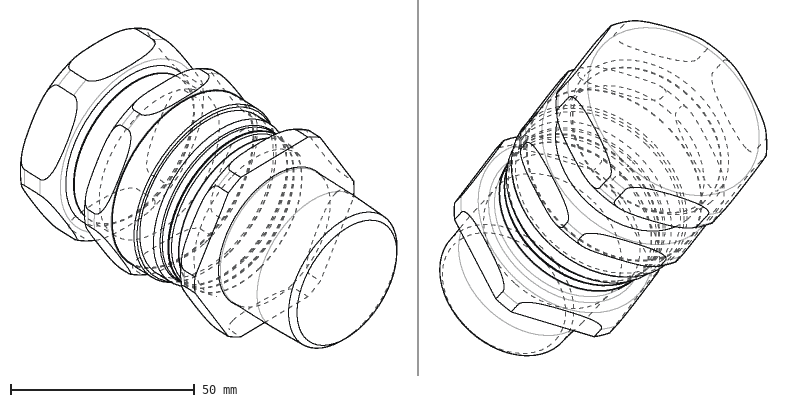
import cadquery as cq
import math


HEX_SIDES = 6
HEX_FLATS = 55.0
HEX_ACROSS_CORNERS = HEX_FLATS / math.cos(math.pi / HEX_SIDES)
HEX_CORNER_RADIUS = 60.6 / 2

CAP_ROUND = 3.9
CAP_HEX_LENGTH = 13.9
CAP_END = 15.6
CAP_BEVEL = 1.5

NECK_RADIUS = 45.7 / 2
MIDDLE_ROUND = 3.2
MIDDLE_HEX_START = 25.4
MIDDLE_HEX_END = 34.3
UNDERCUT_LENGTH = 0.2
UNDERCUT_DEPTH = 0.2
SKIRT_RADIUS = 54.0 / 2
SKIRT_END = 43.7
SKIRT_BEVEL = 0.6

CLAMP_RADIUS = 50.8 / 2
CLAMP_BEVEL_START = 49.0
CLAMP_BEVEL = 1.3
CLAMP_END = 50.9

WIDE_RING_RADIUS = 47.8 / 2
WIDE_RING_END = 53.1
NARROW_RING_RADIUS = 46.7 / 2
NARROW_RING_SHOULDER_RADIUS = 47.6 / 2
NARROW_RING_SHOULDER_LENGTH = 0.3
NARROW_RING_SLOPE_LENGTH = 0.6
NARROW_RING_END = 56.8

COLLAR_START_RADIUS = 23.5
COLLAR_LAND = 0.2
COLLAR_END_RADIUS = 22.5
COLLAR_END = 61.4
ENTRY_HEX_START = 62.6
ENTRY_HEX_END = 70.1
ENTRY_ROUND = 3.4
SPIGOT_RADIUS = 42.2 / 2
SPIGOT_ROOT_RADIUS = 21.2
SPIGOT_ROOT_LENGTH = 0.5
TAPER_START = 84.9
TAPER_END_RADIUS = 20.6
TIP_BEVEL_LENGTH = 1.6
TIP_RADIUS = 19.0
TOTAL_LENGTH = 98.3


def turn(profile):
    """Revolve an (X, radius) profile that is closed along the X axis."""
    return profile.close().revolve(360, (0, 0, 0), (1, 0, 0))


def turned(points):
    """Turned solid whose outline runs through the (X, radius) points, starting and ending on the axis."""
    return turn(cq.Workplane("XY").polyline([(points[0][0], 0), *points, (points[-1][0], 0)]))


def hexagon(start, end, start_round, end_round=0):
    """Hexagon between two X positions, with its corners turned down and rounded at the ends."""
    profile = cq.Workplane("XY").moveTo(start, 0).lineTo(start, HEX_CORNER_RADIUS - start_round)
    profile = profile.radiusArc((start + start_round, HEX_CORNER_RADIUS), start_round)
    profile = profile.lineTo(end - end_round, HEX_CORNER_RADIUS)
    if end_round:
        profile = profile.radiusArc((end, HEX_CORNER_RADIUS - end_round), end_round)
    envelope = turn(profile.lineTo(end, 0))
    prism = (
        cq.Workplane("YZ", origin=(start, 0, 0))
        .polygon(HEX_SIDES, HEX_ACROSS_CORNERS)
        .extrude(end - start)
    )
    return prism.intersect(envelope)


def make_cap_nut():
    bevel_end = CAP_HEX_LENGTH + CAP_BEVEL
    tail = turned([
        (CAP_HEX_LENGTH, NECK_RADIUS + CAP_BEVEL),
        (bevel_end, NECK_RADIUS),
        (CAP_END, NECK_RADIUS),
    ])
    return hexagon(0, CAP_HEX_LENGTH, CAP_ROUND, CAP_ROUND).union(tail)


def make_middle_body():
    neck = turned([(CAP_END, NECK_RADIUS), (MIDDLE_HEX_START, NECK_RADIUS)])
    skirt = turned([
        (MIDDLE_HEX_END, SKIRT_RADIUS - UNDERCUT_DEPTH),
        (MIDDLE_HEX_END + UNDERCUT_LENGTH, SKIRT_RADIUS - UNDERCUT_DEPTH),
        (MIDDLE_HEX_END + UNDERCUT_LENGTH, SKIRT_RADIUS),
        (SKIRT_END - SKIRT_BEVEL, SKIRT_RADIUS),
        (SKIRT_END, SKIRT_RADIUS - SKIRT_BEVEL),
    ])
    nut = hexagon(MIDDLE_HEX_START, MIDDLE_HEX_END, MIDDLE_ROUND, MIDDLE_ROUND)
    return nut.union(neck).union(skirt)


def make_clamp_ring():
    return turned([
        (SKIRT_END, CLAMP_RADIUS),
        (CLAMP_BEVEL_START, CLAMP_RADIUS),
        (CLAMP_BEVEL_START + CLAMP_BEVEL, CLAMP_RADIUS - CLAMP_BEVEL),
        (CLAMP_END, WIDE_RING_RADIUS),
    ])


def make_wide_ring():
    return turned([(CLAMP_END, WIDE_RING_RADIUS), (WIDE_RING_END, WIDE_RING_RADIUS)])


def make_narrow_ring():
    shoulder_end = WIDE_RING_END + NARROW_RING_SHOULDER_LENGTH
    return turned([
        (WIDE_RING_END, NARROW_RING_SHOULDER_RADIUS),
        (shoulder_end, NARROW_RING_SHOULDER_RADIUS),
        (shoulder_end + NARROW_RING_SLOPE_LENGTH, NARROW_RING_RADIUS),
        (NARROW_RING_END, NARROW_RING_RADIUS),
    ])


def make_entry_body():
    fillet = ENTRY_HEX_START - COLLAR_END
    collar = turn(
        cq.Workplane("XY")
        .moveTo(NARROW_RING_END, 0)
        .lineTo(NARROW_RING_END, COLLAR_START_RADIUS)
        .lineTo(NARROW_RING_END + COLLAR_LAND, COLLAR_START_RADIUS)
        .lineTo(COLLAR_END, COLLAR_END_RADIUS)
        .radiusArc((ENTRY_HEX_START, COLLAR_END_RADIUS + fillet), -fillet)
        .lineTo(ENTRY_HEX_START, 0)
    )
    spigot = turned([
        (ENTRY_HEX_END, SPIGOT_ROOT_RADIUS),
        (ENTRY_HEX_END + SPIGOT_ROOT_LENGTH, SPIGOT_RADIUS),
        (TAPER_START, SPIGOT_RADIUS),
        (TOTAL_LENGTH - TIP_BEVEL_LENGTH, TAPER_END_RADIUS),
        (TOTAL_LENGTH, TIP_RADIUS),
    ])
    nut = hexagon(ENTRY_HEX_START, ENTRY_HEX_END, ENTRY_ROUND)
    return nut.union(collar).union(spigot)


cap_nut = make_cap_nut()
middle_body = make_middle_body()
clamp_ring = make_clamp_ring()
wide_ring = make_wide_ring()
narrow_ring = make_narrow_ring()
entry_body = make_entry_body()

result = cq.Compound.makeCompound([
    cap_nut.val(),
    middle_body.val(),
    clamp_ring.val(),
    wide_ring.val(),
    narrow_ring.val(),
    entry_body.val(),
])